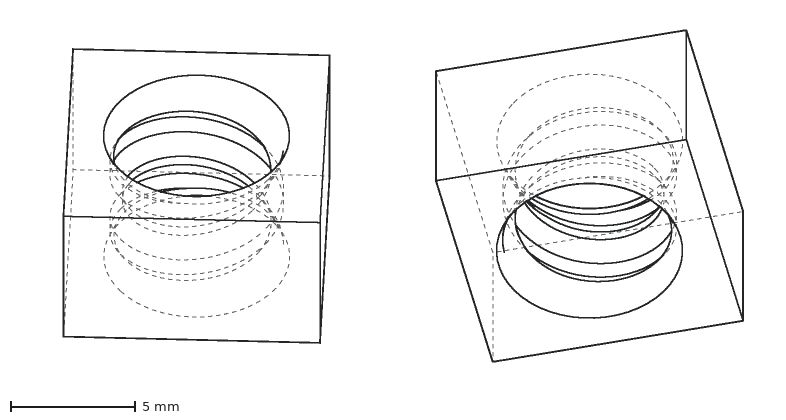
import cadquery as cq
import math

diagonal = 14.64
height = 6.4
side = diagonal / math.sqrt(2)

minor_diameter = 6.0
major_diameter = 7.0
mouth_diameter = 7.5
lead_in_depth = 1.83

pitch = 3.0
root_width = 0.79
groove_mouth_width = 2.6
turns = 3.2
middle_angle = 45.0
bore_overlap = 0.01


def make_block():
    return cq.Workplane("XY").rect(side, side).extrude(height).rotate((0, 0, 0), (0, 0, 1), 45)


def make_bore():
    return cq.Workplane("XY").circle(minor_diameter / 2).extrude(height)


def make_lead_ins():
    minor_radius = minor_diameter / 2
    mouth_radius = mouth_diameter / 2
    return (
        cq.Workplane("XZ")
        .moveTo(0, 0)
        .lineTo(mouth_radius, 0)
        .lineTo(minor_radius, lead_in_depth)
        .lineTo(minor_radius, height - lead_in_depth)
        .lineTo(mouth_radius, height)
        .lineTo(0, height)
        .close()
        .revolve(360, (0, 0, 0), (0, 1, 0))
    )


def make_thread_groove():
    minor_radius = minor_diameter / 2
    major_radius = major_diameter / 2
    inner_radius = minor_radius - bore_overlap
    half_root = root_width / 2
    half_mouth = groove_mouth_width / 2
    helix = cq.Workplane(cq.Wire.makeHelix(pitch, turns * pitch, minor_radius))
    groove = (
        cq.Workplane("XZ")
        .moveTo(inner_radius, -half_mouth)
        .lineTo(major_radius, -half_root)
        .lineTo(major_radius, half_root)
        .lineTo(inner_radius, half_mouth)
        .close()
        .sweep(helix, isFrenet=True)
    )
    bottom = (height - turns * pitch) / 2
    start_angle = middle_angle - 360 * turns / 2
    return groove.rotate((0, 0, 0), (0, 0, 1), start_angle).translate((0, 0, bottom))


result = make_block().cut(make_bore())
result = result.cut(make_thread_groove())
result = result.cut(make_lead_ins())